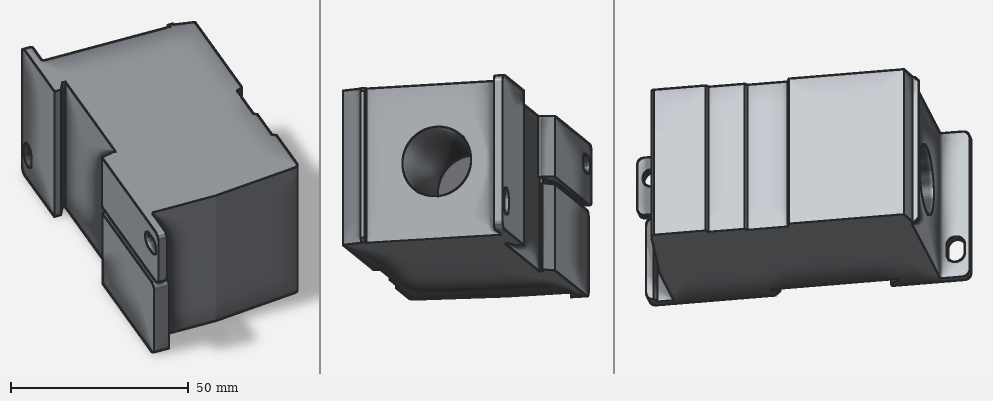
import cadquery as cq


length = 95.4
depth = 49.0
width = 44.5

flange_thickness = 2.6
corner_radius = 2.0
root_fillet = 0.7
slot_length = 7.7
slot_width = 5.2
left_slot_x = 4.0
left_slot_z = 8.6
right_slot_x = 90.0
right_slot_z = 38.1

left_wall_x = 8.4
right_wall_x = 84.9
left_top_x = 9.3
taper_start_y = 42.55
taper_foot_x = 7.8
right_taper_y = 22.1
right_taper_top_x = 82.0
right_taper_top_y = 47.5
right_top_x = 81.0
shoulder_mid_x = 81.7
shoulder_mid_y = 48.5

recess_y = 47.1
step_y = 48.0
recess_left_x = 42.2
recess_right_x = 54.6
step_right_x = 65.5
recess_left_run = 0.9
step_rise_run = 0.7
step_top_run = 0.6

rail_depth = 4.6
rail_lip_y = 3.6
rail_left_x = 19.8
rail_mouth_left_x = 22.7
rail_hook_y = 2.0
rail_right_x = 54.95
rail_mouth_right_x = 55.9

flange_bottom_z = 26.9
clip_top_z = 24.8
clip_left_x = 54.1
clip_bevel_y = 3.15
clip_mouth_x = 56.4
clip_right_x = 92.4
grip_base_x = 89.5
grip_top_x = 90.3

rib_x = 6.3
rib_low_y = 42.0
rib_high_y = 43.1
rib_end_chamfer = 1.1

hole_diameter = 20.0
hole_y = 21.5
hole_depth = 38.2


def make_housing():
    """Housing, both flanges and the rail channel as one extruded outline."""
    outline = (
        cq.Workplane("XY")
        .moveTo(0, 0)
        .lineTo(rail_mouth_left_x, 0)
        .lineTo(rail_mouth_left_x, rail_hook_y)
        .lineTo(rail_left_x, rail_lip_y)
        .lineTo(rail_left_x, rail_depth)
        .lineTo(rail_right_x, rail_depth)
        .lineTo(rail_right_x, rail_lip_y)
        .lineTo(rail_mouth_right_x, 0)
        .lineTo(length, 0)
        .lineTo(length, flange_thickness)
        .lineTo(right_wall_x, flange_thickness)
        .lineTo(right_wall_x, right_taper_y)
        .lineTo(right_taper_top_x, right_taper_top_y)
        .threePointArc((shoulder_mid_x, shoulder_mid_y), (right_top_x, depth))
        .lineTo(step_right_x + step_top_run, depth)
        .lineTo(step_right_x, step_y)
        .lineTo(recess_right_x + step_rise_run, step_y)
        .lineTo(recess_right_x, recess_y)
        .lineTo(recess_left_x + recess_left_run, recess_y)
        .lineTo(recess_left_x, depth)
        .lineTo(left_top_x, depth)
        .lineTo(taper_foot_x, taper_start_y)
        .lineTo(left_wall_x, taper_start_y)
        .lineTo(left_wall_x, flange_thickness)
        .lineTo(0, flange_thickness)
        .close()
    )
    housing = outline.extrude(width)
    for wall_x in (left_wall_x, right_wall_x):
        root = cq.selectors.NearestToPointSelector((wall_x, flange_thickness, width / 2))
        housing = housing.edges("|Z").edges(root).fillet(root_fillet)
    return housing


def box_between(low, high):
    """Axis-aligned box between two opposite corners."""
    sizes = [b - a for a, b in zip(low, high)]
    return cq.Workplane("XY").box(*sizes, centered=False).translate(low)


def mounting_slot(x, z, angle):
    """Cutter for one obround slot through a flange."""
    return (
        cq.Workplane("XZ", origin=(x, 0, z))
        .slot2D(slot_length, slot_width, angle)
        .extrude(-flange_thickness)
    )


def make_clip():
    """Rail clip with a hooked nose and a raised finger grip."""
    return (
        cq.Workplane("XY")
        .moveTo(clip_mouth_x, 0)
        .lineTo(clip_right_x, 0)
        .lineTo(clip_right_x, rail_depth)
        .lineTo(grip_top_x, rail_depth)
        .lineTo(grip_base_x, flange_thickness)
        .lineTo(right_wall_x, flange_thickness)
        .lineTo(right_wall_x, rail_lip_y)
        .lineTo(clip_left_x, rail_lip_y)
        .lineTo(clip_left_x, clip_bevel_y)
        .close()
        .extrude(clip_top_z)
        .edges("|Y and >X")
        .fillet(corner_radius)
    )


def make_rib():
    """Full-width rib on the -X wall, chamfered at both ends."""
    return (
        box_between((rib_x, rib_low_y, 0), (left_wall_x, rib_high_y, width))
        .edges("|Y and <X")
        .chamfer(rib_end_chamfer)
    )


result = make_housing()
clip_rooms = (
    (rail_right_x, clip_mouth_x, rail_depth),
    (clip_mouth_x, right_wall_x, rail_lip_y),
    (right_wall_x, length, flange_thickness + root_fillet),
)
for start_x, end_x, room_depth in clip_rooms:
    result = result.cut(box_between((start_x, 0, 0), (end_x, room_depth, flange_bottom_z)))

result = result.edges("|Y and (<X or >X)").fillet(corner_radius)

result = result.cut(mounting_slot(left_slot_x, left_slot_z, 90))
result = result.cut(mounting_slot(right_slot_x, right_slot_z, 0))

result = result.union(make_clip()).union(make_rib())

cable_hole = (
    cq.Workplane("YZ", origin=(left_wall_x, hole_y, width / 2))
    .circle(hole_diameter / 2)
    .extrude(hole_depth)
)
result = result.cut(cable_hole)